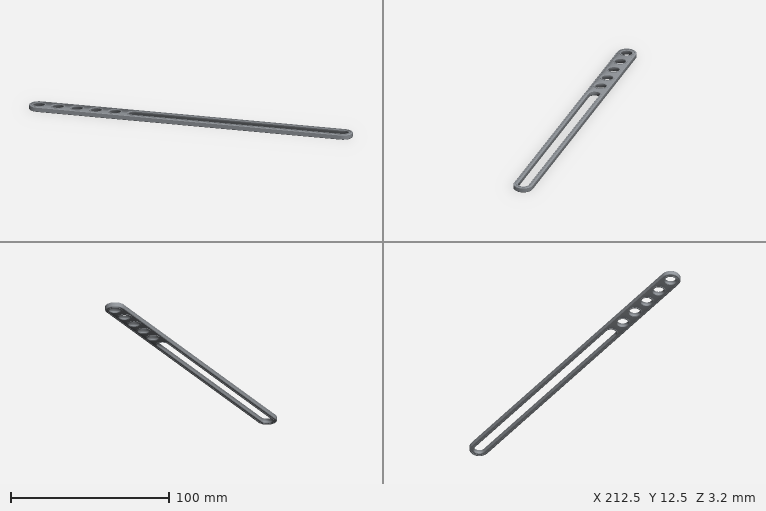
import cadquery as cq
length = 212.5
pitch_count = 17
pitch = length / pitch_count
width = pitch
thickness = 3.2

hole_count = 5
hole_diameter = 7.0
rim_diameter = 9.1
border_width = (rim_diameter - hole_diameter) / 2
recess_depth = 0.25
edge_chamfer = 0.32

first_hole_x = (pitch - length) / 2
hole_centers = [(first_hole_x + index * pitch, 0) for index in range(hole_count)]
slot_start_x = first_hole_x + hole_count * pitch
slot_end_x = -first_hole_x
slot_center_x = (slot_start_x + slot_end_x) / 2
slot_center_distance = slot_end_x - slot_start_x


def make_bar():
    """Round-ended bar centred on the origin, with both outer edges chamfered."""
    bar = cq.Workplane("XY").slot2D(length, width).extrude(thickness / 2, both=True)
    return bar.faces("<Z or >Z").chamfer(edge_chamfer)


def make_openings(diameter, start_z, height, taper=0):
    """Plugs for all holes and the slot, extruded from the level start_z."""
    plane = cq.Workplane("XY").workplane(offset=start_z)
    holes = plane.pushPoints(hole_centers).circle(diameter / 2).extrude(height, taper=taper)
    slot_profile = plane.center(slot_center_x, 0).slot2D(slot_center_distance + diameter, diameter)
    return holes.union(slot_profile.extrude(height, taper=taper))


def make_top_recess():
    """Sunken area of the upper face, between the border and the rims of the openings."""
    floor_z = thickness / 2 - recess_depth
    inner_length = length - 2 * border_width
    inner_width = width - 2 * border_width
    plane = cq.Workplane("XY").workplane(offset=floor_z)
    pocket = plane.slot2D(inner_length, inner_width).extrude(recess_depth)
    return pocket.cut(make_openings(rim_diameter, floor_z, recess_depth))


def make_top_flares():
    """45 degree countersinks at the upper edges of the openings."""
    flare_diameter = hole_diameter + 2 * edge_chamfer
    return make_openings(flare_diameter, thickness / 2, -edge_chamfer, taper=45)


result = make_bar().cut(make_openings(hole_diameter, -thickness / 2, thickness))
for top_cutter in (make_top_recess(), make_top_flares()):
    result = result.cut(top_cutter).cut(top_cutter.mirror("XY"))